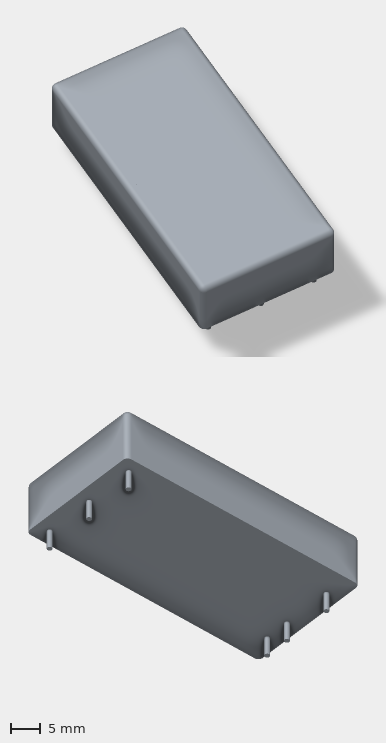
import cadquery as cq

housing_length = 51.3
housing_width = 25.9
housing_height = 10.7
edge_radius = 1.0

plate_inset = 1.75
plate_length = housing_length - 2 * plate_inset
plate_width = housing_width - 2 * plate_inset
plate_thickness = 0.25
plate_corner_radius = 0.45

pin_radius = 0.5
pin_length = 3.8
pin_row_spacing = 45.75
pitches_between_rows = 18
pin_pitch = pin_row_spacing / pitches_between_rows
pin_row_x = pin_row_spacing / 2
left_row_steps = (-3, -1, 3)
right_row_steps = (-4, 0, 4)


def make_plate():
    """Thin rounded plate whose top face is level with the housing top."""
    return (
        cq.Workplane("XY")
        .workplane(offset=housing_height - plate_thickness)
        .rect(plate_length, plate_width)
        .extrude(plate_thickness)
        .edges("|Z")
        .fillet(plate_corner_radius)
    )


def make_housing(plate):
    """Block with rounded upright and top edges, and a recess that fits the plate."""
    block = cq.Workplane("XY").box(
        housing_length, housing_width, housing_height, centered=(True, True, False)
    )
    rounded_block = block.edges("|Z or >Z").fillet(edge_radius)
    return rounded_block.cut(plate)


def make_pin(x, y):
    """Round pin hanging from the underside of the housing."""
    return cq.Workplane("XY").center(x, y).circle(pin_radius).extrude(-pin_length)


plate = make_plate()
housing = make_housing(plate)

pins = []
for row_x, row_steps in ((-pin_row_x, left_row_steps), (pin_row_x, right_row_steps)):
    for step in row_steps:
        pins.append(make_pin(row_x, step * pin_pitch).val())

result = cq.Compound.makeCompound([housing.val(), plate.val(), *pins])